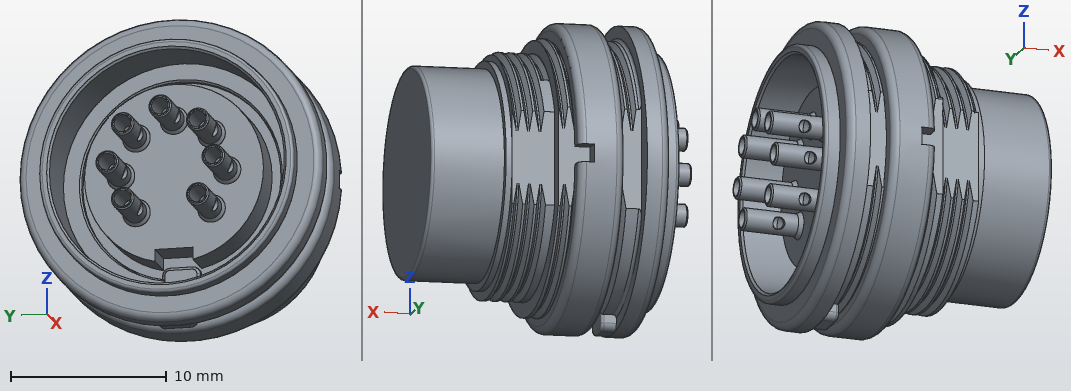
import cadquery as cq
import math


FLANGE_START = 1.0
FLANGE_END = 2.5
LARGE_THREAD_END = 8.0
SMALL_THREAD_END = 10.8
COLLAR_END = 11.2
BARREL_END = 16.0

CUP_DIAMETER = 16.8
FLANGE_DIAMETER = 20.0
LARGE_THREAD_DIAMETER = 18.0
SMALL_THREAD_DIAMETER = 16.0
COLLAR_DIAMETER = 14.8
BARREL_DIAMETER = 13.8
FLANGE_FILLET = 0.5
FLANGE_ROOT_FILLET = 0.2
SHELL_FILLET = 0.2

PITCH = 0.75
THREAD_DEPTH = 0.4
GROOVE_ROOT_WIDTH = 0.12
GROOVE_FLANK_ANGLE = 30.0
GROOVE_OVERCUT = 0.03
LARGE_GROOVE_X = 3.5
LARGE_GROOVE_START_ANGLE = -180.0
LARGE_GROOVE_TURNS = 6
SMALL_GROOVE_X = 8.575
SMALL_GROOVE_START_ANGLE = -138.0
SMALL_GROOVE_TURNS = 3
GROOVE_RUNOUT_ANGLE = -22.0

LARGE_FLAT_WIDTH = 16.8
SMALL_FLAT_WIDTH = COLLAR_DIAMETER

RIB_LENGTH = 1.0
RIB_WIDTH = 2.6
RIB_HEIGHT = 9.94
RIB_CORNER_FILLET = 0.48
RIB_END_FILLET = 0.2

NUT_START = 4.0
NUT_LENGTH = 3.0
NUT_BORE = 17.6
NUT_FILLET = 0.5
NUT_SLOT_WIDTH = 1.17
NUT_SLOT_DEPTH = 1.0

CUP_BORE = 15.5
CUP_DEPTH = 4.0
CUP_RIM_CHAMFER = 0.15
SEAT_DIAMETER = 13.15
SEAT_CHAMFER = 0.12
SEAT_DEPTH = 0.5

INSERT_DIAMETER = 11.8
INSERT_FACE = 2.1
NOTCH_WIDTH = 2.5
NOTCH_TOP_Z = -4.97
KEY_WIDTH = NOTCH_WIDTH
KEY_TOP_Z = -5.71
KEY_CORNER = 0.5
KEY_CHAMFER = 0.2

PIN_TIP = -1.8
PIN_CIRCLE_RADIUS = 3.5
PIN_ANGLES = [45 * step for step in range(-1, 6)]
PIN_DIAMETER = 1.48
PIN_TIP_CHAMFER = 0.1
PIN_FOOT_DIAMETER = 1.82
PIN_FOOT_LENGTH = 0.3
PIN_BORE = 1.1
PIN_BORE_DEPTH = 2.6
PIN_BORE_TIP_ANGLE = 118.0
PIN_SIDE_HOLE = 0.8
PIN_SIDE_HOLE_OFFSET = 2.28
PIN_SIDE_HOLE_TILT = 20.0


def cylinder(start, end, diameter):
    """Solid cylinder on the X axis."""
    return cq.Workplane("YZ", origin=(start, 0, 0)).circle(diameter / 2).extrude(end - start)


def block(start, end, y_range, z_range):
    """Box given by its limits along X, Y and Z."""
    size = (end - start, y_range[1] - y_range[0], z_range[1] - z_range[0])
    return cq.Workplane("XY").box(*size, centered=False).translate((start, y_range[0], z_range[0]))


def thread_groove(diameter, groove_x, start_angle, turns):
    """Right-hand helical groove. Angles run from the -Y side towards -Z."""
    sweep_angle = 360 * turns + GROOVE_RUNOUT_ANGLE - start_angle
    crest_radius = diameter / 2
    root_radius = crest_radius - THREAD_DEPTH
    outer_radius = crest_radius + GROOVE_OVERCUT
    root_half = GROOVE_ROOT_WIDTH / 2
    flank_run = (outer_radius - root_radius) * math.tan(math.radians(GROOVE_FLANK_ANGLE))
    outer_half = root_half + flank_run
    helix = cq.Wire.makeHelix(PITCH, PITCH * sweep_angle / 360, crest_radius)
    groove = (
        cq.Workplane("XZ")
        .polyline([
            (root_radius, -root_half),
            (outer_radius, -outer_half),
            (outer_radius, outer_half),
            (root_radius, root_half),
        ])
        .close()
        .sweep(cq.Workplane(obj=helix), isFrenet=True)
    )
    start_x = groove_x + PITCH * start_angle / 360
    return (
        groove.rotate((0, 0, 0), (0, 0, 1), start_angle - 90)
        .rotate((0, 0, 0), (0, 1, 0), 90)
        .translate((start_x, 0, 0))
    )


def cut_flats(body, start, end, width):
    """Trim a stretch of the body to the given width across Y."""
    reach = FLANGE_DIAMETER / 2
    for y_range in [(-reach, -width / 2), (width / 2, reach)]:
        body = body.cut(block(start, end, y_range, (-reach, reach)))
    return body


def thread_blank(start, end, diameter):
    """Cylinder turned a quarter so that its seam does not meet the start of the groove."""
    return cylinder(start, end, diameter).rotate((0, 0, 0), (1, 0, 0), 90)


def make_rib():
    inner_radius = LARGE_THREAD_DIAMETER / 2 - THREAD_DEPTH
    rib = block(
        FLANGE_END, FLANGE_END + RIB_LENGTH,
        (-RIB_WIDTH / 2, RIB_WIDTH / 2), (-RIB_HEIGHT, -inner_radius))
    rib = rib.edges("|X and <Z").fillet(RIB_CORNER_FILLET)
    return rib.faces(">X").edges("not >Z").fillet(RIB_END_FILLET)


def make_flange_root():
    """Concave fillet ring between the flange and the large thread."""
    thread_radius = LARGE_THREAD_DIAMETER / 2
    arc_offset = FLANGE_ROOT_FILLET * (1 - math.sqrt(0.5))
    return (
        cq.Workplane("XY")
        .moveTo(FLANGE_END, 0)
        .lineTo(FLANGE_END, thread_radius + FLANGE_ROOT_FILLET)
        .threePointArc(
            (FLANGE_END + arc_offset, thread_radius + arc_offset),
            (FLANGE_END + FLANGE_ROOT_FILLET, thread_radius))
        .lineTo(FLANGE_END + FLANGE_ROOT_FILLET, 0)
        .close()
        .revolve(360, (0, 0, 0), (1, 0, 0))
    )


def make_large_thread():
    thread = thread_blank(FLANGE_END, LARGE_THREAD_END, LARGE_THREAD_DIAMETER)
    thread = thread.cut(thread_groove(
        LARGE_THREAD_DIAMETER, LARGE_GROOVE_X, LARGE_GROOVE_START_ANGLE, LARGE_GROOVE_TURNS))
    thread = thread.union(make_flange_root())
    return cut_flats(thread, FLANGE_END, LARGE_THREAD_END, LARGE_FLAT_WIDTH)


def make_small_thread():
    thread = thread_blank(LARGE_THREAD_END, SMALL_THREAD_END, SMALL_THREAD_DIAMETER)
    thread = thread.cut(thread_groove(
        SMALL_THREAD_DIAMETER, SMALL_GROOVE_X, SMALL_GROOVE_START_ANGLE, SMALL_GROOVE_TURNS))
    return cut_flats(thread, LARGE_THREAD_END, SMALL_THREAD_END, SMALL_FLAT_WIDTH)


def make_shell():
    cup = cylinder(0, FLANGE_START, CUP_DIAMETER).faces("<X").edges().fillet(SHELL_FILLET)
    flange = cylinder(FLANGE_START, FLANGE_END, FLANGE_DIAMETER)
    flange = flange.faces("<X").edges().fillet(FLANGE_FILLET)
    collar = cylinder(SMALL_THREAD_END, COLLAR_END, COLLAR_DIAMETER)
    barrel = cylinder(COLLAR_END, BARREL_END, BARREL_DIAMETER)
    barrel = barrel.faces(">X").edges().fillet(SHELL_FILLET)
    shell = make_large_thread()
    for piece in [make_small_thread(), cup, flange, collar, barrel, make_rib()]:
        shell = shell.union(piece)
    return shell


def make_nut():
    nut_end = NUT_START + NUT_LENGTH
    nut = cylinder(NUT_START, nut_end, FLANGE_DIAMETER).edges().fillet(NUT_FILLET)
    nut = nut.cut(cylinder(NUT_START, nut_end, NUT_BORE))
    reach = FLANGE_DIAMETER / 2
    slot_half = NUT_SLOT_WIDTH / 2
    slots = block(nut_end - NUT_SLOT_DEPTH, nut_end, (-reach, reach), (-slot_half, slot_half))
    return nut.cut(slots)


def make_cup_cavity():
    """Stepped bore with bevelled rims, as one revolved outline of (x, radius) points."""
    bore = CUP_BORE / 2
    seat = SEAT_DIAMETER / 2
    seat_floor = CUP_DEPTH + SEAT_DEPTH
    return (
        cq.Workplane("XY")
        .polyline([
            (0, 0),
            (0, bore + CUP_RIM_CHAMFER),
            (CUP_RIM_CHAMFER, bore),
            (CUP_DEPTH, bore),
            (CUP_DEPTH, seat + SEAT_CHAMFER),
            (CUP_DEPTH + SEAT_CHAMFER, seat),
            (seat_floor, seat),
            (seat_floor, 0),
        ])
        .close()
        .revolve(360, (0, 0, 0), (1, 0, 0))
    )


def make_key():
    seat_floor = CUP_DEPTH + SEAT_DEPTH
    key_bottom = -CUP_BORE / 2
    key = block(CUP_DEPTH, seat_floor, (-KEY_WIDTH / 2, KEY_WIDTH / 2), (key_bottom, KEY_TOP_Z))
    key = key.edges("|X and >Z").fillet(KEY_CORNER)
    return key.faces("<X").edges("not <Z").chamfer(KEY_CHAMFER)


def make_insert():
    seat_floor = CUP_DEPTH + SEAT_DEPTH
    insert = cylinder(INSERT_FACE, seat_floor, INSERT_DIAMETER)
    notch = block(
        INSERT_FACE, seat_floor,
        (-NOTCH_WIDTH / 2, NOTCH_WIDTH / 2), (-INSERT_DIAMETER / 2, NOTCH_TOP_Z))
    return insert.cut(notch)


def make_pin():
    """Hollow solder pin on the X axis with a flared foot and a hole in its side."""
    pin = cylinder(PIN_TIP, INSERT_FACE, PIN_DIAMETER).faces("<X").edges().chamfer(PIN_TIP_CHAMFER)
    foot_start = INSERT_FACE - PIN_FOOT_LENGTH
    foot = (
        cq.Workplane("XY")
        .polyline([
            (foot_start, 0),
            (foot_start, PIN_DIAMETER / 2),
            (INSERT_FACE, PIN_FOOT_DIAMETER / 2),
            (INSERT_FACE, 0),
        ])
        .close()
        .revolve(360, (0, 0, 0), (1, 0, 0))
    )
    bore_radius = PIN_BORE / 2
    bore_end = PIN_TIP + PIN_BORE_DEPTH
    tip_length = bore_radius / math.tan(math.radians(PIN_BORE_TIP_ANGLE / 2))
    bore = (
        cq.Workplane("XY")
        .polyline([
            (PIN_TIP, 0),
            (PIN_TIP, bore_radius),
            (bore_end, bore_radius),
            (bore_end + tip_length, 0),
        ])
        .close()
        .revolve(360, (0, 0, 0), (1, 0, 0))
    )
    side_hole = (
        cq.Workplane("XZ")
        .center(PIN_TIP + PIN_SIDE_HOLE_OFFSET, 0)
        .circle(PIN_SIDE_HOLE / 2)
        .extrude(PIN_DIAMETER)
        .rotate((0, 0, 0), (1, 0, 0), PIN_SIDE_HOLE_TILT)
    )
    return pin.union(foot).cut(bore).cut(side_hole)


def make_connector():
    connector = make_shell().union(make_nut())
    connector = connector.cut(make_cup_cavity())
    connector = connector.union(make_key()).union(make_insert())
    pin = make_pin()
    for angle in PIN_ANGLES:
        y = PIN_CIRCLE_RADIUS * math.cos(math.radians(angle))
        z = PIN_CIRCLE_RADIUS * math.sin(math.radians(angle))
        connector = connector.union(pin.translate((0, y, z)))
    return connector


result = make_connector()